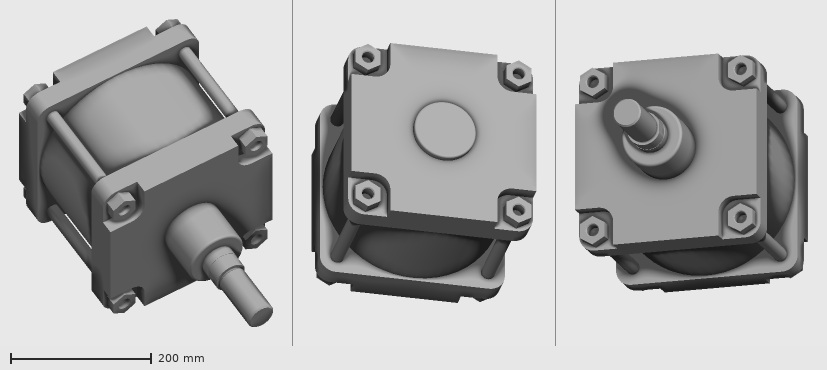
import cadquery as cq
import math

REAR_BOSS_LENGTH = 10.0
REAR_PLATE = 50.5
FRONT_PLATE = 52.0
BARREL_LENGTH = 147.5
FRONT_BOSS_LENGTH = 69.5
COLLAR_LENGTH = 15.5
FLATS_LENGTH = 23.0
NECK_LENGTH = 2.5
THREAD_LENGTH = 80.7

BARREL_START = REAR_PLATE
BARREL_END = BARREL_START + BARREL_LENGTH
FRONT_FACE = BARREL_END + FRONT_PLATE
BOSS_END = FRONT_FACE + FRONT_BOSS_LENGTH
FLATS_START = BOSS_END + COLLAR_LENGTH
FLATS_END = FLATS_START + FLATS_LENGTH

HEAD_SIDE = 270.0
HEAD_CORNER_RADIUS = 23.0
POCKET_SIDE = 57.0
POCKET_CORNER_RADIUS = 22.5
POCKET_DEPTH = 20.5
BOSS_DIAMETER = 90.0
REAR_BOSS_FILLET = 3.0
FRONT_BOSS_FILLET = 4.0

BARREL_DIAMETER = 262.0

ROD_DIAMETER = 50.0
FLATS_DIAMETER = 49.0
FLATS_WIDTH = 46.0
THREAD_DIAMETER = 42.0
THREAD_TIP_CHAMFER = 2.3
THREAD_ROOT_CHAMFER = 1.5
NECK_DIAMETER = THREAD_DIAMETER - 2 * THREAD_ROOT_CHAMFER

TIE_ROD_DIAMETER = 20.0
TIE_ROD_OFFSET = 110.0
NUT_ACROSS_FLATS = 36.5
NUT_HEIGHT = 18.0
NUT_HOLE_DIAMETER = 17.0
NUT_HOLE_CHAMFER = 1.5

CORNERS = [(y_sign, z_sign) for y_sign in (-1, 1) for z_sign in (-1, 1)]
TIE_ROD_CENTERS = [(y_sign * TIE_ROD_OFFSET, z_sign * TIE_ROD_OFFSET) for y_sign, z_sign in CORNERS]
NUT_ACROSS_CORNERS = NUT_ACROSS_FLATS / math.cos(math.radians(30))


def plane_at(x):
    """Workplane across the axis at x, with local axes along Y and Z and its normal along +X."""
    return cq.Workplane("YZ", origin=(x, 0, 0))


def cylinder(x, length, diameter):
    return plane_at(x).circle(diameter / 2).extrude(length)


def head_plate(x, thickness, pocket_x):
    """Square plate with rounded corners, nut pockets in its corners and tie-rod holes."""
    plate = plane_at(x).rect(HEAD_SIDE, HEAD_SIDE).extrude(thickness)
    plate = plate.edges("|X").fillet(HEAD_CORNER_RADIUS)
    for y_sign, z_sign in CORNERS:
        pocket = (
            plane_at(pocket_x)
            .center(y_sign * HEAD_SIDE / 2, z_sign * HEAD_SIDE / 2)
            .rect(2 * POCKET_SIDE, 2 * POCKET_SIDE)
            .extrude(POCKET_DEPTH)
            .edges("|X")
            .fillet(POCKET_CORNER_RADIUS)
        )
        plate = plate.cut(pocket)
    holes = plane_at(x).pushPoints(TIE_ROD_CENTERS).circle(TIE_ROD_DIAMETER / 2).extrude(thickness)
    return plate.cut(holes)


def make_rear_head():
    boss = cylinder(-REAR_BOSS_LENGTH, REAR_BOSS_LENGTH, BOSS_DIAMETER)
    boss = boss.faces("<X").edges().fillet(REAR_BOSS_FILLET)
    return head_plate(0, REAR_PLATE, 0).union(boss)


def make_front_head():
    boss = cylinder(FRONT_FACE, FRONT_BOSS_LENGTH, BOSS_DIAMETER)
    boss = boss.faces(">X").edges().fillet(FRONT_BOSS_FILLET)
    rod_bore = cylinder(BARREL_END, BOSS_END - BARREL_END, ROD_DIAMETER)
    return head_plate(BARREL_END, FRONT_PLATE, FRONT_FACE - POCKET_DEPTH).union(boss).cut(rod_bore)


def make_barrel():
    return cylinder(BARREL_START, BARREL_LENGTH, BARREL_DIAMETER)


def make_piston_rod():
    """Rod from the barrel end outwards: round shank, two wrench flats, neck and threaded end."""
    shank = cylinder(BARREL_END, FLATS_START - BARREL_END, ROD_DIAMETER)
    flats_slab = plane_at(FLATS_START).rect(FLATS_WIDTH, FLATS_DIAMETER).extrude(FLATS_LENGTH)
    flats = cylinder(FLATS_START, FLATS_LENGTH, FLATS_DIAMETER).intersect(flats_slab)
    neck = cylinder(FLATS_END, NECK_LENGTH, NECK_DIAMETER)
    thread = cylinder(FLATS_END + NECK_LENGTH, THREAD_LENGTH, THREAD_DIAMETER)
    thread = thread.faces(">X").edges().chamfer(THREAD_TIP_CHAMFER)
    thread = thread.faces("<X").edges().chamfer(THREAD_ROOT_CHAMFER)
    return shank.union(flats).union(neck).union(thread)


def nut(x):
    """Hexagonal prism with corners pointing along Z."""
    hexagon = plane_at(x).polygon(6, NUT_ACROSS_CORNERS).extrude(NUT_HEIGHT)
    return hexagon.rotate((0, 0, 0), (1, 0, 0), 90)


def make_tie_rod():
    """Tie rod on the X axis, with a nut on each pocket floor; the nuts have open, chamfered holes."""
    rear_seat = POCKET_DEPTH
    front_seat = FRONT_FACE - POCKET_DEPTH
    shank = cylinder(rear_seat, front_seat - rear_seat, TIE_ROD_DIAMETER)
    rod = shank.union(nut(rear_seat - NUT_HEIGHT)).union(nut(front_seat))
    for hole_start in (rear_seat - NUT_HEIGHT, front_seat):
        rod = rod.cut(cylinder(hole_start, NUT_HEIGHT, NUT_HOLE_DIAMETER))
    return rod.faces("<X or >X").edges("%CIRCLE").chamfer(NUT_HOLE_CHAMFER)


rear_head = make_rear_head()
front_head = make_front_head()
barrel = make_barrel()
piston_rod = make_piston_rod()
tie_rods = [make_tie_rod().translate((0, y, z)) for y, z in TIE_ROD_CENTERS]

result = cq.Compound.makeCompound(
    [
        rear_head.val(),
        front_head.val(),
        barrel.val(),
        piston_rod.val(),
        *[tie_rod.val() for tie_rod in tie_rods],
    ]
)